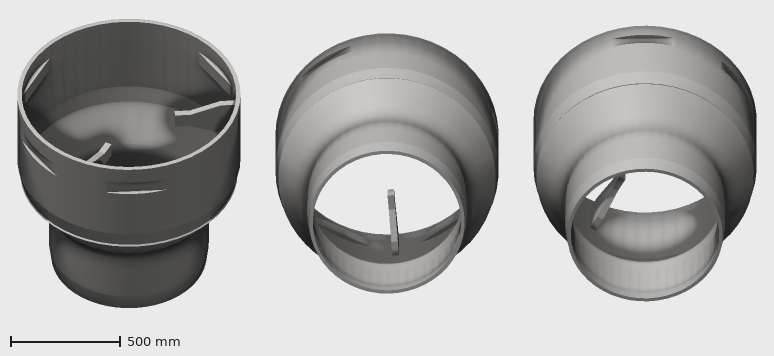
import cadquery as cq
import math

SLEEVE_OUTER_RADIUS = 510
SLEEVE_WALL = 20
SLEEVE_BORE_RADIUS = SLEEVE_OUTER_RADIUS - SLEEVE_WALL
SLEEVE_TOP_Z = 1000
SLEEVE_TAPER_Z = 600
SLEEVE_BOTTOM_Z = 521
SLEEVE_TAPER_INSET = 16

INDENT_ANGLES = (90, -30, -90, -150)
INDENT_BOTTOM_Z = 850
INDENT_HEIGHT = 70
INDENT_TOP_Z = INDENT_BOTTOM_Z + INDENT_HEIGHT
INDENT_OUTER_FLAT = SLEEVE_BORE_RADIUS
INDENT_INNER_FLAT = INDENT_OUTER_FLAT - SLEEVE_WALL

PIPE_OUTER_RADIUS = 365
PIPE_WALL = 16
PIPE_BORE_RADIUS = PIPE_OUTER_RADIUS - PIPE_WALL
PIPE_TAPER_Z = 80
PIPE_TAPER_INSET = 10
PIPE_TOP_Z = 320
CONE_ANGLE = math.radians(37)
NECK_OUTER_BEND = 50
NECK_INNER_BEND = NECK_OUTER_BEND + PIPE_WALL

FIN_ANGLES = (60, -60)
FIN_THICKNESS = 30
FIN_TIP_RADIUS = 210
FIN_FLAT_LENGTH = 70
FIN_TIP_SHOULDER = FIN_TIP_RADIUS + FIN_FLAT_LENGTH
FIN_ROOT_SHOULDER = SLEEVE_BORE_RADIUS - FIN_FLAT_LENGTH
FIN_ROOT_TOP_Z = INDENT_TOP_Z
FIN_ROOT_BOTTOM_Z = 750
FIN_SLOPE_RISE = 50
FIN_TIP_TOP_Z = FIN_ROOT_TOP_Z - FIN_SLOPE_RISE
FIN_TIP_BOTTOM_Z = FIN_ROOT_BOTTOM_Z + FIN_SLOPE_RISE


def spin(profile):
    """Revolve a closed (radius, z) profile a full turn about the Z axis."""
    return profile.close().revolve(360, (0, 0, 0), (0, 1, 0))


def cylinder(radius, bottom_z, height):
    return cq.Workplane("XY").workplane(offset=bottom_z).circle(radius).extrude(height)


def outside_flat(distance, angle):
    """Block of indent height lying beyond a flat at the given distance from the axis."""
    depth = SLEEVE_OUTER_RADIUS - distance
    block = cq.Workplane("XY").box(
        depth, SLEEVE_OUTER_RADIUS, INDENT_HEIGHT, centered=(False, True, False)
    )
    return block.translate((distance, 0, INDENT_BOTTOM_Z)).rotate((0, 0, 0), (0, 0, 1), angle)


def make_sleeve():
    body = spin(
        cq.Workplane("XZ")
        .moveTo(SLEEVE_BORE_RADIUS, SLEEVE_TOP_Z)
        .lineTo(SLEEVE_OUTER_RADIUS, SLEEVE_TOP_Z)
        .lineTo(SLEEVE_OUTER_RADIUS, SLEEVE_TAPER_Z)
        .lineTo(SLEEVE_OUTER_RADIUS - SLEEVE_TAPER_INSET, SLEEVE_BOTTOM_Z)
        .lineTo(SLEEVE_BORE_RADIUS - SLEEVE_TAPER_INSET, SLEEVE_BOTTOM_Z)
        .lineTo(SLEEVE_BORE_RADIUS, SLEEVE_TAPER_Z)
    )
    mid_wall_radius = SLEEVE_BORE_RADIUS + SLEEVE_WALL / 2
    for angle in INDENT_ANGLES:
        pad_limit = cylinder(mid_wall_radius, INDENT_BOTTOM_Z, INDENT_HEIGHT)
        pad = outside_flat(INDENT_INNER_FLAT, angle).intersect(pad_limit)
        body = body.union(pad).cut(outside_flat(INDENT_OUTER_FLAT, angle))
    return body


def make_reducer():
    bend_center_radius = PIPE_OUTER_RADIUS + NECK_OUTER_BEND

    def neck_point(bend, turn):
        return (bend_center_radius - bend * math.cos(turn), PIPE_TOP_Z + bend * math.sin(turn))

    outer_neck = neck_point(NECK_OUTER_BEND, CONE_ANGLE)
    inner_neck = neck_point(NECK_INNER_BEND, CONE_ANGLE)

    cone_length = (SLEEVE_BOTTOM_Z - inner_neck[1]) / math.cos(CONE_ANGLE)

    def cone_end(neck):
        return (
            neck[0] + cone_length * math.sin(CONE_ANGLE),
            neck[1] + cone_length * math.cos(CONE_ANGLE),
        )

    return spin(
        cq.Workplane("XZ")
        .moveTo(PIPE_BORE_RADIUS - PIPE_TAPER_INSET, 0)
        .lineTo(PIPE_OUTER_RADIUS - PIPE_TAPER_INSET, 0)
        .lineTo(PIPE_OUTER_RADIUS, PIPE_TAPER_Z)
        .lineTo(PIPE_OUTER_RADIUS, PIPE_TOP_Z)
        .threePointArc(neck_point(NECK_OUTER_BEND, CONE_ANGLE / 2), outer_neck)
        .lineTo(*cone_end(outer_neck))
        .lineTo(*cone_end(inner_neck))
        .lineTo(*inner_neck)
        .threePointArc(neck_point(NECK_INNER_BEND, CONE_ANGLE / 2), (PIPE_BORE_RADIUS, PIPE_TOP_Z))
        .lineTo(PIPE_BORE_RADIUS, PIPE_TAPER_Z)
    )


def make_fin(angle):
    plate = (
        cq.Workplane("XZ")
        .moveTo(FIN_TIP_RADIUS, FIN_TIP_BOTTOM_Z)
        .lineTo(FIN_TIP_SHOULDER, FIN_TIP_BOTTOM_Z)
        .lineTo(FIN_ROOT_SHOULDER, FIN_ROOT_BOTTOM_Z)
        .lineTo(SLEEVE_OUTER_RADIUS, FIN_ROOT_BOTTOM_Z)
        .lineTo(SLEEVE_OUTER_RADIUS, FIN_ROOT_TOP_Z)
        .lineTo(FIN_ROOT_SHOULDER, FIN_ROOT_TOP_Z)
        .lineTo(FIN_TIP_SHOULDER, FIN_TIP_TOP_Z)
        .lineTo(FIN_TIP_RADIUS, FIN_TIP_TOP_Z)
        .close()
        .extrude(FIN_THICKNESS / 2, both=True)
    )
    bore = cylinder(SLEEVE_BORE_RADIUS, FIN_ROOT_BOTTOM_Z, FIN_ROOT_TOP_Z - FIN_ROOT_BOTTOM_Z)
    return plate.intersect(bore).rotate((0, 0, 0), (0, 0, 1), angle)


sleeve = make_sleeve().solids()
reducer = make_reducer().solids()
fins = [make_fin(angle).solids() for angle in FIN_ANGLES]

result = cq.Compound.makeCompound([sleeve.val(), reducer.val(), *[fin.val() for fin in fins]])